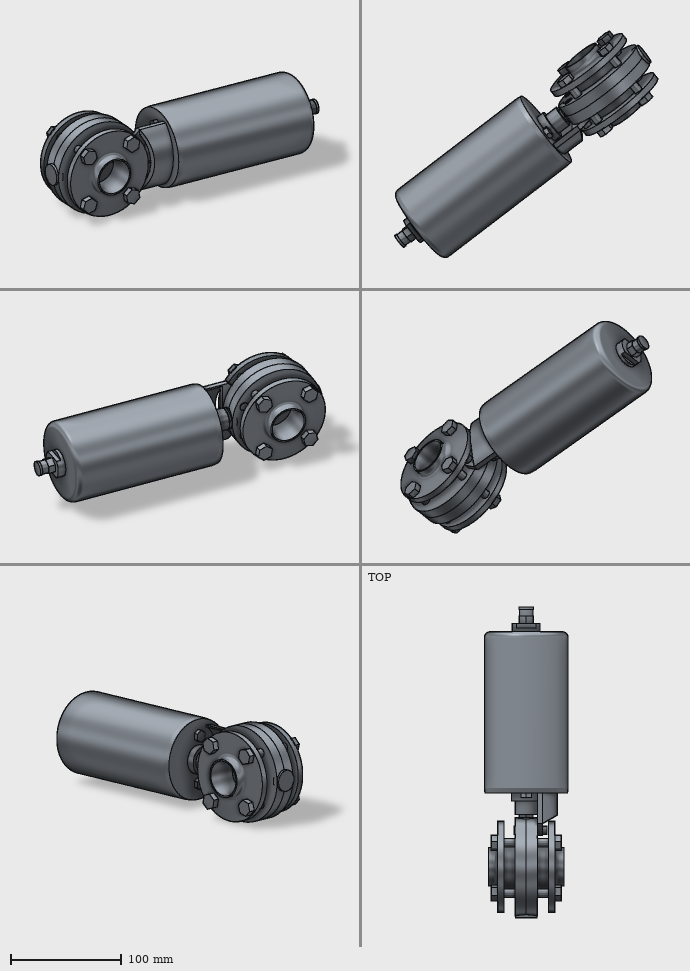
import cadquery as cq
import math

overall_length = 282.0

rim_radius = 44.5
rim_half_width = 10.2
hub_radius = 24.3
flange_radius = 41.5
flange_inner_x = 20.0
flange_outer_x = 26.0
nozzle_radius = 17.5
nozzle_fillet = 4.0
nozzle_end_x = 34.5
bore_radius = 16.0

bolt_circle_radius = 33.8
bolt_radius = 4.0
bolt_head_across_flats = 13.0
bolt_head_height = 6.0
upper_bolt_angle = 50
lower_bolt_angle = 45
bolt_angles = [
    upper_bolt_angle,
    -upper_bolt_angle,
    180 - lower_bolt_angle,
    180 + lower_bolt_angle,
]

closing_disc_thickness = 14.0
shaft_radius = 6.2
square_diagonal = 12.7
square_length = 10.5
plug_radius = 10.0
plug_inner_distance = 39.5
upper_plug_end_y = 44.8
lower_plug_end_y = -46.2

housing_radius = 38.0
housing_start_y = 66.8
housing_end_y = 213.2
housing_fillet = 5.4
rim_taper_length = 4.5
rim_taper_depth = 0.5
collar_radius = 13.5
collar_end_y = 59.5
coupling_radius = 10.2
coupling_end_y = 47.5
face_screw_offset = 22.3
face_screw_across_flats = 10.0
face_screw_height = 4.2

gland_base_radius = 12.7
gland_base_end_y = 220.8
gland_flat_distance = 9.0
gland_flat_length = 4.2
gland_nut_across_flats = 13.0
gland_nut_end_y = 227.3
gland_neck_radius = 6.2
gland_tip_radius = 6.8
gland_tip_length = 2.3
gland_end_y = lower_plug_end_y + overall_length

bracket_half_height = 30.2
flank_wall = 1.7
bowed_wall = 3.5
bracket_plate_outer_x = 15.0
bracket_depth_x = 28.2
plate_end_y = 28.2
plate_top_y = 44.8
plate_chamfer = 11.0
cover_slope_end_y = 46.8
bracket_screw_radius = 4.0
bracket_screw_y = 33.0
bracket_screw_z = 15.5
bracket_screw_start_x = -11.0
bracket_screw_end_x = 19.0


def x_cylinder(radius, start, end, y=0, z=0):
    """Cylinder along X between two X positions."""
    return cq.Workplane("YZ", origin=(start, 0, 0)).center(y, z).circle(radius).extrude(end - start)


def y_cylinder(radius, start, end):
    """Cylinder on the Y axis between two Y positions."""
    return cq.Workplane("XZ", origin=(0, start, 0)).circle(radius).extrude(start - end)


def y_hexagon(across_flats, start, end, z=0):
    """Hexagonal prism along Y with two corners pointing along Z."""
    diameter = across_flats / math.cos(math.pi / 6)
    plane = cq.Workplane("XZ", origin=(0, start, z)).transformed(rotate=(0, 0, 90))
    return plane.polygon(6, diameter).extrude(start - end)


def make_stem_square():
    """Square drive of the stem, with its corners on the X and Z directions."""
    plane = cq.Workplane("XZ", origin=(0, upper_plug_end_y, 0))
    return plane.polygon(4, square_diagonal).extrude(-square_length)


def make_flange_bolt(angle):
    """Rod from rim to flange and a hexagonal head with a flat facing outwards."""
    diameter = bolt_head_across_flats / math.cos(math.pi / 6)
    head_plane = cq.Workplane("YZ", origin=(flange_outer_x, 0, 0)).center(bolt_circle_radius, 0)
    head = head_plane.transformed(rotate=(0, 0, 30)).polygon(6, diameter).extrude(bolt_head_height)
    bolt = head.union(x_cylinder(bolt_radius, rim_half_width, flange_outer_x, y=bolt_circle_radius))
    return bolt.rotate((0, 0, 0), (1, 0, 0), angle)


def make_closing_disc():
    """Closed butterfly disc with its shaft, a plug at each end and the square drive."""
    half = closing_disc_thickness / 2
    disc = x_cylinder(bore_radius, -half, half)
    shaft = y_cylinder(shaft_radius, -plug_inner_distance, plug_inner_distance)
    upper_plug = y_cylinder(plug_radius, plug_inner_distance, upper_plug_end_y)
    lower_plug = y_cylinder(plug_radius, lower_plug_end_y, -plug_inner_distance)
    return disc.union(shaft).union(upper_plug).union(lower_plug).union(make_stem_square())


def make_bracket_screws():
    """Two screws that go through the bracket plate and the valve rim."""
    upper, lower = [
        x_cylinder(
            bracket_screw_radius, bracket_screw_start_x, bracket_screw_end_x, y=bracket_screw_y, z=z
        )
        for z in (bracket_screw_z, -bracket_screw_z)
    ]
    return upper.union(lower)


def make_body_half():
    """The +X half of the valve body, from the split plane to the nozzle end."""
    root_radius = nozzle_radius + nozzle_fillet
    fillet_end_x = flange_outer_x + nozzle_fillet
    fillet_middle = (
        fillet_end_x - nozzle_fillet * math.sin(math.pi / 4),
        root_radius - nozzle_fillet * math.sin(math.pi / 4),
    )
    profile = (
        cq.Workplane("XY")
        .moveTo(0, bore_radius)
        .lineTo(0, rim_radius)
        .lineTo(rim_half_width, rim_radius)
        .lineTo(rim_half_width, hub_radius)
        .lineTo(flange_inner_x, hub_radius)
        .lineTo(flange_inner_x, flange_radius)
        .lineTo(flange_outer_x, flange_radius)
        .lineTo(flange_outer_x, root_radius)
        .threePointArc(fillet_middle, (fillet_end_x, nozzle_radius))
        .lineTo(nozzle_end_x, nozzle_radius)
        .lineTo(nozzle_end_x, bore_radius)
        .close()
    )
    half = profile.revolve(360, (0, 0, 0), (1, 0, 0))
    for angle in bolt_angles:
        half = half.union(make_flange_bolt(angle))
    return half


def make_gland():
    """Cable gland: flatted base, hexagonal nut, neck and tip."""
    base = y_cylinder(gland_base_radius, housing_end_y, gland_base_end_y)
    flat_zone = cq.Workplane("XY").box(
        2 * gland_base_radius, gland_flat_length, 2 * gland_base_radius
    )
    kept_zone = cq.Workplane("XY").box(
        2 * gland_base_radius, gland_flat_length, 2 * gland_flat_distance
    )
    flat_y = gland_base_end_y - gland_flat_length / 2
    base = base.cut(flat_zone.cut(kept_zone).translate((0, flat_y, 0)))
    nut = y_hexagon(gland_nut_across_flats, gland_base_end_y, gland_nut_end_y)
    neck = y_cylinder(gland_neck_radius, gland_nut_end_y, gland_end_y)
    tip = y_cylinder(gland_tip_radius, gland_end_y - gland_tip_length, gland_end_y)
    return base.union(nut).union(neck).union(tip)


def make_actuator():
    """Actuator housing with its coupling, face screws and cable gland."""
    housing = y_cylinder(housing_radius, housing_start_y, housing_end_y)
    housing = housing.faces(">Y").edges().fillet(housing_fillet)
    housing = housing.faces("<Y").edges().chamfer(rim_taper_length, rim_taper_depth)
    actuator = housing.union(y_cylinder(collar_radius, collar_end_y, housing_start_y))
    actuator = actuator.union(y_cylinder(coupling_radius, coupling_end_y, housing_start_y))
    for z in (face_screw_offset, -face_screw_offset):
        screw = y_hexagon(
            face_screw_across_flats, housing_start_y - face_screw_height, housing_start_y, z
        )
        actuator = actuator.union(screw)
    return actuator.union(make_gland()).cut(make_stem_square())


def make_bowed_prism(half_height, flank_x, depth_x):
    """Prism along Y with straight flanks beside the plate and a bowed back."""
    return (
        cq.Workplane("XZ", origin=(0, plate_end_y, 0))
        .moveTo(rim_half_width, -half_height)
        .lineTo(flank_x, -half_height)
        .threePointArc((depth_x, 0), (flank_x, half_height))
        .lineTo(rim_half_width, half_height)
        .close()
        .extrude(plate_end_y - housing_start_y)
    )


def make_bracket():
    """Bowed cover under the actuator with a flat plate on the valve rim."""
    outer = make_bowed_prism(bracket_half_height, bracket_plate_outer_x, bracket_depth_x)
    inner = make_bowed_prism(
        bracket_half_height - flank_wall,
        bracket_plate_outer_x - bowed_wall,
        bracket_depth_x - bowed_wall,
    )
    cover = outer.cut(inner)
    slope_start_y = plate_end_y + plate_chamfer
    cover_outline = (
        cq.Workplane("XY", origin=(0, 0, -bracket_half_height))
        .moveTo(rim_half_width, housing_start_y)
        .lineTo(rim_half_width, slope_start_y)
        .lineTo(bracket_plate_outer_x, slope_start_y)
        .lineTo(bracket_depth_x, cover_slope_end_y)
        .lineTo(bracket_depth_x, housing_start_y)
        .close()
        .extrude(2 * bracket_half_height)
    )
    plate = (
        cq.Workplane("YZ", origin=(rim_half_width, 0, 0))
        .center((plate_end_y + plate_top_y) / 2, 0)
        .rect(plate_top_y - plate_end_y, 2 * bracket_half_height)
        .extrude(bracket_plate_outer_x - rim_half_width)
        .edges("|X and <Y")
        .chamfer(plate_chamfer)
    )
    bracket = cover.intersect(cover_outline).union(plate)
    return bracket.union(make_bracket_screws())


closing_disc = make_closing_disc()
bracket = make_bracket()
actuator = make_actuator()

full_half = make_body_half()
body_halves = [
    half.cut(closing_disc).cut(bracket) for half in (full_half, full_half.mirror("YZ"))
]

result = cq.Compound.makeCompound(
    [closing_disc.val(), bracket.val(), actuator.val()] + [half.val() for half in body_halves]
)